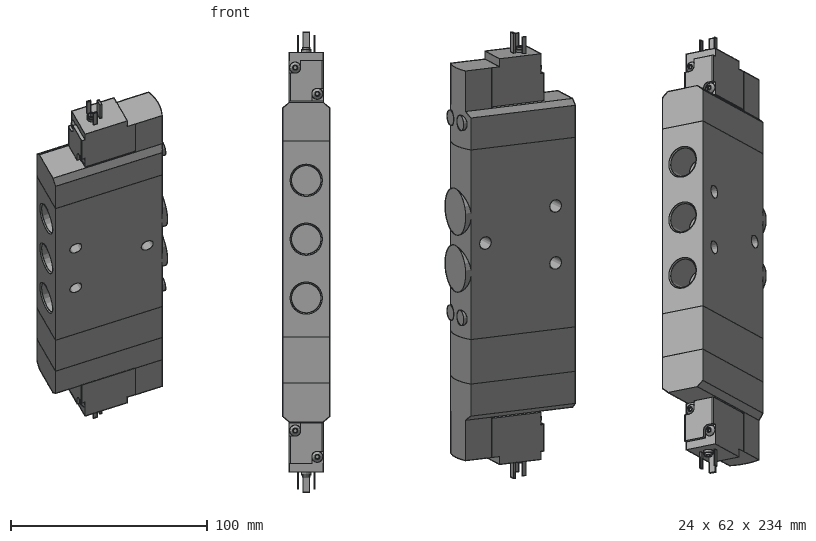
import cadquery as cq
import math


width = 24.0
depth = 62.0
crown_height = 3.0
cap_end = 81.2
cap_start = 61.5
block_bottom = -38.1
block_middle = (cap_start + block_bottom) / 2
port_pitch = 30.0

port_diameter = 15.0
port_mouth_diameter = 16.4
port_depth = 18.7
mount_diameter = 6.5
mount_front_y = 11.2
mount_back_y = 50.8
boss_diameter = 24.3
pad_diameter = 8.0
pad_offset = 5.8
block_pad_z = -27.8
cap_pad_z = 74.6

chamfer_height = 2.8

pilot_width = 17.5
coil_width = 17.3
stem_top = 102.5
stem_front = 45.6
coil_gap = 0.7
coil_bottom = cap_end + coil_gap
coil_top = 106.7
coil_front = 17.8
crest_back = 41.2
plate_front = 16.0
plate_bevel_width = 0.7
plate_bevel_depth = 0.2
notch_diameter = 5.5
screw_offset = 5.5
upper_screw_z = 99.0
lower_screw_z = 85.6
screw_top_diameter = 2.5
screw_height = 1.2
socket_diameter = 2.0
socket_depth = 1.0

bush_y = 25.3
flange_diameter = 5.0
flange_height = 1.5
bush_diameter = 3.7
bush_height = 2.5
bush_hole_diameter = 2.0
blade_y = 29.5
blade_width = 3.5
blade_thickness = 1.2
blade_top = 117.0
side_pin_offset = 4.2
side_pin_width = 2.0
side_pin_thickness = 0.7
side_pin_top = 115.4


def box(x_range, y_range, z_range):
    """Box between the given limits."""
    size = [high - low for low, high in (x_range, y_range, z_range)]
    corner = (x_range[0], y_range[0], z_range[0])
    return cq.Workplane("XY").box(*size, centered=False).translate(corner)


def y_cylinder(diameter, x, z, y_start, y_end):
    """Cylinder along Y between two Y positions."""
    base = cq.Workplane("XZ", origin=(x, y_start, z)).circle(diameter / 2)
    return base.extrude(y_start - y_end)


def arched_prism(z_low, z_high):
    """Prism of the section shared by the stack: a rectangle with an arched back."""
    half = width / 2
    section = (
        cq.Workplane("XY", origin=(0, 0, z_low))
        .moveTo(-half, depth - crown_height)
        .lineTo(-half, 0)
        .lineTo(half, 0)
        .lineTo(half, depth - crown_height)
        .threePointArc((0, depth), (-half, depth - crown_height))
        .close()
    )
    return section.extrude(z_high - z_low)


def back_pads(z):
    """Pair of small round pads that stand on the arched back."""
    pads = [y_cylinder(pad_diameter, side * pad_offset, z, depth / 2, depth) for side in (-1, 1)]
    return pads[0].add(pads[1]).combine()


def make_port(z):
    """Cutter for a blind round port with a 45 degree countersink."""
    mouth_radius = port_mouth_diameter / 2
    radius = port_diameter / 2
    mouth_depth = mouth_radius - radius
    cone = cq.Solid.makeCone(
        mouth_radius, radius, mouth_depth, cq.Vector(0, 0, z), cq.Vector(0, 1, 0)
    )
    return y_cylinder(port_diameter, 0, z, 0, port_depth).union(cq.Workplane(cone))


def make_block():
    """Valve block with front ports, back bosses and cross mounting holes."""
    block = arched_prism(block_bottom, cap_start)

    envelope = box((-width / 2, width / 2), (0, depth), (block_bottom, cap_start))
    for side in (-1, 1):
        boss_z = block_middle + side * port_pitch / 2
        boss = y_cylinder(boss_diameter, 0, boss_z, depth / 2, depth)
        block = block.union(boss.intersect(envelope))
    block = block.union(back_pads(block_pad_z))

    for step in (-1, 0, 1):
        block = block.cut(make_port(block_middle + step * port_pitch))

    for y, z_offset in (
        (mount_front_y, port_pitch / 2),
        (mount_front_y, -port_pitch / 2),
        (mount_back_y, 0),
    ):
        hole = cq.Workplane("YZ", origin=(-width / 2, y, block_middle + z_offset))
        block = block.cut(hole.circle(mount_diameter / 2).extrude(width))
    return block


def make_spacer():
    """Plain spacer between the valve block and the lower cap."""
    return arched_prism(-cap_start, block_bottom)


def make_cap():
    """Chamfered end cap with the narrow stem that carries the coil."""
    half = width / 2
    half_pilot = pilot_width / 2
    outline = (
        cq.Workplane("XZ")
        .moveTo(-half, cap_start)
        .lineTo(-half, cap_end - chamfer_height)
        .lineTo(-half_pilot, cap_end)
        .lineTo(-half_pilot, stem_top)
        .lineTo(half_pilot, stem_top)
        .lineTo(half_pilot, cap_end)
        .lineTo(half, cap_end - chamfer_height)
        .lineTo(half, cap_start)
        .close()
        .extrude(-depth)
    )
    cap = arched_prism(cap_start, stem_top).intersect(outline)
    return cap.cut(box((-half, half), (0, stem_front), (cap_end, stem_top)))


def make_screw(x, z):
    """Conical screw head, as wide as its notch at the base, with a blind round socket."""
    head = cq.Workplane(
        cq.Solid.makeCone(
            notch_diameter / 2,
            screw_top_diameter / 2,
            screw_height,
            cq.Vector(x, coil_front, z),
            cq.Vector(0, -1, 0),
        )
    )
    top_y = coil_front - screw_height
    return head.cut(y_cylinder(socket_diameter, x, z, top_y, top_y + socket_depth))


def make_plate():
    """Front plate with bevelled upright edges and a notch in two opposite corners."""
    half = coil_width / 2
    bevel_y = plate_front + plate_bevel_depth
    plate = (
        cq.Workplane("XY", origin=(0, 0, coil_bottom))
        .moveTo(-half, coil_front)
        .lineTo(-half, bevel_y)
        .lineTo(-half + plate_bevel_width, plate_front)
        .lineTo(half - plate_bevel_width, plate_front)
        .lineTo(half, bevel_y)
        .lineTo(half, coil_front)
        .close()
        .extrude(stem_top - coil_bottom)
    )
    upper_notch = make_notch(-screw_offset, upper_screw_z, -half, stem_top)
    lower_notch = make_notch(screw_offset, lower_screw_z, half, coil_bottom)
    return plate.cut(upper_notch).cut(lower_notch)


def make_notch(x, z, edge_x, edge_z):
    """Cutter around a screw: round inside, square toward the plate corner at the given edges."""
    radius = notch_diameter / 2
    inner_x = x - math.copysign(radius, edge_x)
    inner_z = z - radius if edge_z > z else z + radius
    y_range = (plate_front, coil_front)
    notch = y_cylinder(notch_diameter, x, z, *y_range)
    notch = notch.union(box(sorted((inner_x, edge_x)), y_range, sorted((z, edge_z))))
    return notch.union(box(sorted((x, edge_x)), y_range, sorted((inner_z, edge_z))))


def make_coil():
    """Coil housing with its front plate and two screws."""
    half = coil_width / 2
    coil = box((-half, half), (coil_front, stem_front), (coil_bottom, stem_top))
    coil = coil.union(box((-half, half), (coil_front, crest_back), (coil_bottom, coil_top)))
    coil = coil.union(make_plate())
    coil = coil.union(make_screw(-screw_offset, upper_screw_z))
    return coil.union(make_screw(screw_offset, lower_screw_z))


def make_contacts():
    """Stepped bush with a blind hole, one wide blade and two side pins."""
    base = cq.Workplane("XY", origin=(0, bush_y, coil_top))
    bush = base.circle(flange_diameter / 2).extrude(flange_height)
    bush = bush.union(base.circle(bush_diameter / 2).extrude(bush_height))
    bush = bush.cut(base.circle(bush_hole_diameter / 2).extrude(bush_height))
    contacts = [bush]
    contacts.append(
        box(
            (-blade_width / 2, blade_width / 2),
            (blade_y - blade_thickness / 2, blade_y + blade_thickness / 2),
            (coil_top, blade_top),
        )
    )
    for side in (-1, 1):
        x = side * side_pin_offset
        contacts.append(
            box(
                (x - side_pin_thickness / 2, x + side_pin_thickness / 2),
                (bush_y - side_pin_width / 2, bush_y + side_pin_width / 2),
                (coil_top, side_pin_top),
            )
        )
    return contacts


def make_end():
    """End cap and pilot solenoid as one solid, at the top of the stack."""
    end = make_cap().union(make_coil())
    for contact in make_contacts():
        end = end.union(contact)
    return end


block = make_block()
spacer = make_spacer()
plain_end = make_end()
upper_end = plain_end.union(back_pads(cap_pad_z))
lower_end = plain_end.rotate((0, 0, 0), (0, 1, 0), 180)

result = cq.Compound.makeCompound([block.val(), spacer.val(), upper_end.val(), lower_end.val()])